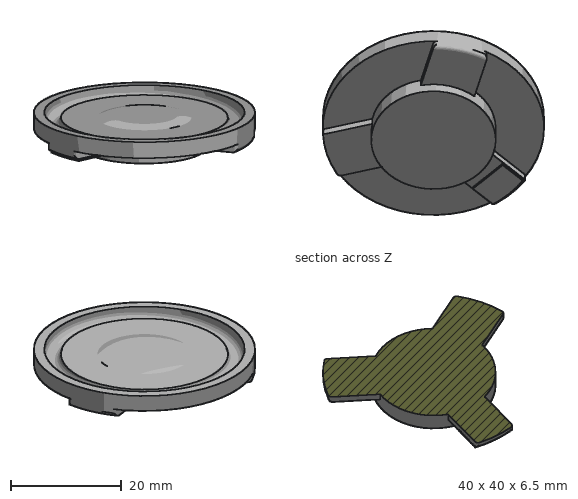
import cadquery as cq
import math

disc_radius = 20.0
disc_diameter = 2 * disc_radius
disc_thickness = 3.0

rim_inner_radius = 18.1
floor_depth = 1.0
floor_radius = 15.1
groove_depth = 1.5

dome_radius = 8.5
crown_radius = 6.0
dome_height = 0.5

hub_radius = 11.25
hub_height = 3.5

tab_height = 1.5
tab_edge_radius = 0.7
narrow_tab_width = 8.1
wide_tab_width = 10.0
narrow_tab_angle = -90.0
wide_tab_angles = (30.0, 150.0)

pad_width = 7.7
pad_height = 0.4
pad_inner_distance = 13.8
pad_outer_radius = 19.3

disc_bottom = -disc_thickness
tab_bottom = disc_bottom - tab_height


def make_bar(length, width, bottom, height, angle):
    """Straight radial bar from the disc axis outwards, turned to the given angle."""
    bar = cq.Workplane("XY", origin=(length / 2, 0, bottom)).rect(length, width).extrude(height)
    return bar.rotate((0, 0, 0), (0, 0, 1), angle)


def make_cylinder(radius, bottom, height):
    """Cylinder about the disc axis."""
    return cq.Workplane("XY", origin=(0, 0, bottom)).circle(radius).extrude(height)


def make_disc_with_tabs():
    """Disc and tabs sharing one outer cylinder, with the tabs' outer edges rounded."""
    tall_disc = make_cylinder(disc_radius, tab_bottom, disc_thickness + tab_height)
    tabs = make_bar(disc_diameter, narrow_tab_width, tab_bottom, tab_height, narrow_tab_angle)
    for angle in wide_tab_angles:
        tabs = tabs.union(make_bar(disc_diameter, wide_tab_width, tab_bottom, tab_height, angle))

    space_between_tabs = make_cylinder(disc_diameter, tab_bottom, tab_height).cut(tabs)
    disc = tall_disc.cut(space_between_tabs)

    below_disc = cq.selectors.BoxSelector(
        (-disc_diameter, -disc_diameter, tab_bottom - tab_height),
        (disc_diameter, disc_diameter, disc_bottom - tab_edge_radius / 2),
    )
    outer_face = disc.faces("%CYLINDER")
    return outer_face.edges(below_disc).fillet(tab_edge_radius)


def make_hub():
    """Round hub under the disc."""
    return make_cylinder(hub_radius, disc_bottom - hub_height, hub_height)


def make_pad():
    """Thin pad under the narrow tab, with a straight inner end and a round outer end."""
    pad_bottom = tab_bottom - pad_height
    pad = make_bar(disc_radius, pad_width, pad_bottom, pad_height, narrow_tab_angle)
    inner_bar = make_bar(pad_inner_distance, disc_diameter, pad_bottom, pad_height, narrow_tab_angle)
    return pad.cut(inner_bar).intersect(make_cylinder(pad_outer_radius, pad_bottom, pad_height))


def make_dish():
    """Hollow of the top, revolved from its (radius, z) profile: rim wall, groove, floor and dome."""
    floor_z = -floor_depth
    crown_z = floor_z + dome_height

    flank_run = dome_radius - crown_radius
    flank_radius = (flank_run**2 + dome_height**2) / (2 * dome_height)
    half_sweep = math.asin(flank_run / flank_radius) / 2
    flank_middle = (
        crown_radius + flank_radius * math.sin(half_sweep),
        crown_z - flank_radius * (1 - math.cos(half_sweep)),
    )
    groove_bottom = ((floor_radius + rim_inner_radius) / 2, floor_z - groove_depth)

    profile = (
        cq.Workplane("XZ")
        .moveTo(0, 0)
        .lineTo(rim_inner_radius, 0)
        .lineTo(rim_inner_radius, floor_z)
        .threePointArc(groove_bottom, (floor_radius, floor_z))
        .lineTo(dome_radius, floor_z)
        .threePointArc(flank_middle, (crown_radius, crown_z))
        .lineTo(0, crown_z)
        .close()
    )
    return profile.revolve(360, (0, 0, 0), (0, 1, 0))


result = make_disc_with_tabs().union(make_hub()).union(make_pad()).cut(make_dish())